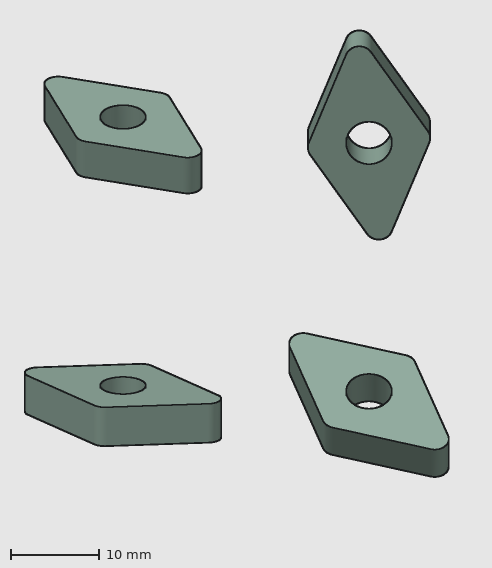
import cadquery as cq
import math

length = 21.45
width = 12.7
thickness = 4.75
acute_angle = 55.0
hole_diameter = 5.17

diagonal_run = 1 / math.tan(math.radians(acute_angle / 2))
corner_radius = (width / 2 * diagonal_run - length / 2) / (diagonal_run - 1)

half_width = width / 2
acute_x = half_width * diagonal_run
obtuse_x = acute_x - width / math.sin(math.radians(acute_angle))
corners = [
    (acute_x, half_width),
    (obtuse_x, half_width),
    (-acute_x, -half_width),
    (-obtuse_x, -half_width),
]

body = cq.Workplane("XY").polyline(corners).close().extrude(thickness)
body = body.edges("|Z").fillet(corner_radius)

result = body.faces(">Z").workplane(origin=(0, 0, thickness)).hole(hole_diameter)